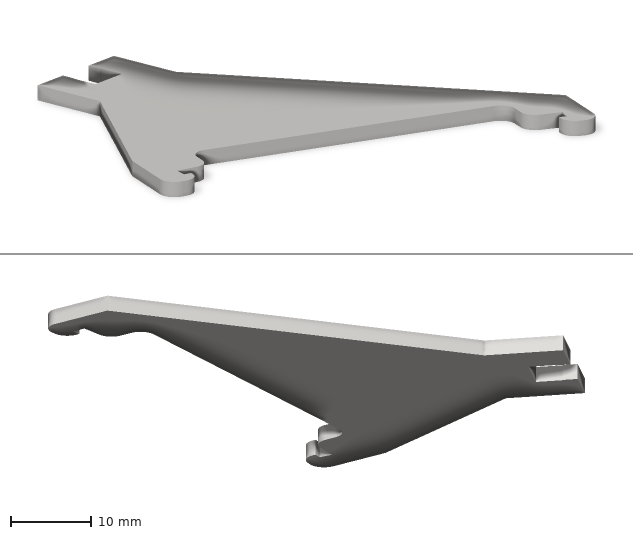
import cadquery as cq
import math

THICKNESS = 2.0

TAB_WIDTH = 15.0
TAB_LENGTH = 10.0
SLOT_DEPTH = 5.3
SLOT_WIDTH = 5.3
MOUTH_WIDTH = 5.1
MOUTH_LENGTH = 1.9

HEAD_TILT = math.radians(25.0)
HEAD_CENTER_X = 40.78
HEAD_CENTER_Y = 3.9
HEAD_HALF_WIDTH = 30.0

BUMP_OFFSET = 22.0

NOTCH_LEAN = math.radians(6.0)
NOTCH_ALONG = 5.9
NOTCH_ACROSS = 26.65
NOTCH_WIDTH = 1.7
LIP_HEIGHT = 1.0
HOOK_REACH = 3.94

CORNER_RADIUS = 2.0


def head_point(along, across):
    """Convert head-frame coordinates to plate X, Y."""
    x = HEAD_CENTER_X + along * math.cos(HEAD_TILT) + across * math.sin(HEAD_TILT)
    y = HEAD_CENTER_Y - along * math.sin(HEAD_TILT) + across * math.cos(HEAD_TILT)
    return (x, y)


def notch_point(reach, drop):
    """Head-frame point at a reach along the notch floor and a drop along the notch wall."""
    along = NOTCH_ALONG + reach * math.cos(NOTCH_LEAN) - drop * math.sin(NOTCH_LEAN)
    across = NOTCH_ACROSS - reach * math.sin(NOTCH_LEAN) - drop * math.cos(NOTCH_LEAN)
    return (along, across)


def drop_to(across, reach):
    """Drop along the notch wall direction at which the given reach meets an across level."""
    return (NOTCH_ACROSS - reach * math.sin(NOTCH_LEAN) - across) / math.cos(NOTCH_LEAN)


def hook_points(side):
    """Sharp outline corners of one hook; side is +1 for the upper hook, -1 for the lower."""
    corners = {
        "elbow": (0, HEAD_HALF_WIDTH),
        "nose_outer": notch_point(HOOK_REACH, drop_to(HEAD_HALF_WIDTH, HOOK_REACH)),
        "nose_inner": notch_point(HOOK_REACH, LIP_HEIGHT),
        "lip_tip": notch_point(NOTCH_WIDTH, LIP_HEIGHT),
        "floor_end": notch_point(NOTCH_WIDTH, 0),
        "notch_corner": notch_point(0, 0),
        "bump": notch_point(0, drop_to(BUMP_OFFSET, 0)),
        "valley": (0, BUMP_OFFSET),
    }
    return {name: head_point(along, side * across) for name, (along, across) in corners.items()}


def plate(upper, lower):
    """Plate outline with sharp corners, extruded to thickness."""
    tab_upper = [(0, TAB_WIDTH / 2), (TAB_LENGTH, TAB_WIDTH / 2)]
    tab_lower = [(TAB_LENGTH, -TAB_WIDTH / 2), (0, -TAB_WIDTH / 2)]
    head = list(upper.values()) + list(reversed(lower.values()))
    return cq.Workplane("XY").polyline(tab_upper + head + tab_lower).close().extrude(THICKNESS)


def slot():
    """Cutter for the tab slot: a narrow mouth and a slightly wider pocket behind it."""
    mouth = cq.Workplane("XY").box(SLOT_DEPTH, MOUTH_WIDTH, THICKNESS, centered=(False, True, False))
    pocket_length = SLOT_DEPTH - MOUTH_LENGTH
    pocket = cq.Workplane("XY").box(pocket_length, SLOT_WIDTH, THICKNESS, centered=(False, True, False))
    return mouth.union(pocket.translate((MOUTH_LENGTH, 0, 0)))


def round_corner(body, corner):
    """Fillet the upright edge that stands at the given outline corner."""
    nearest = cq.selectors.NearestToPointSelector((*corner, THICKNESS / 2))
    return body.edges("|Z").edges(nearest).fillet(CORNER_RADIUS)


upper_hook = hook_points(1)
lower_hook = hook_points(-1)

result = plate(upper_hook, lower_hook).cut(slot())
for hook in (upper_hook, lower_hook):
    for name in ("nose_outer", "nose_inner", "bump", "valley"):
        result = round_corner(result, hook[name])